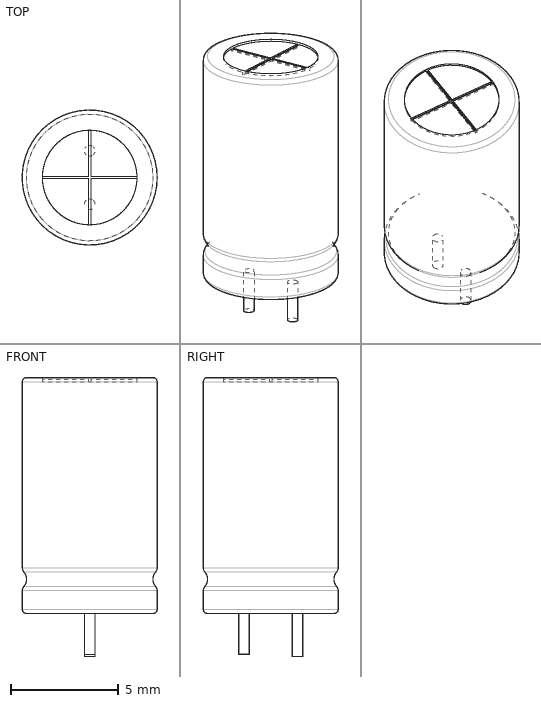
import cadquery as cq
import math

can_diameter = 6.3
can_height = 11.0
can_radius = can_diameter / 2
rim_fillet = 0.2

groove_height = 1.6
groove_depth = 0.2
groove_arc_radius = 0.5
groove_lip_radius = 0.3

vent_diameter = 0.7 * can_diameter
vent_depth = 0.1
score_width = 0.1
score_depth = 0.1

lead_diameter = 0.5
lead_spacing = 2.5
long_lead_length = 2.0
short_lead_length = 1.9


def make_can():
    """Revolve the can wall, with rounded rims and a crimp groove with rounded lips."""
    groove_center_radius = can_radius - groove_depth + groove_arc_radius
    lip_center_radius = can_radius - groove_lip_radius
    center_distance = groove_arc_radius + groove_lip_radius
    radial_offset = groove_center_radius - lip_center_radius
    lip_offset = math.sqrt(center_distance**2 - radial_offset**2)

    groove_share = groove_arc_radius / center_distance
    tangent_radius = groove_center_radius - radial_offset * groove_share
    tangent_offset = lip_offset * groove_share

    half_lip_angle = math.atan2(lip_offset, radial_offset) / 2
    lip_middle_radius = lip_center_radius + groove_lip_radius * math.cos(half_lip_angle)
    lip_middle_offset = lip_offset - groove_lip_radius * math.sin(half_lip_angle)

    profile = (
        cq.Workplane("XZ")
        .lineTo(can_radius, 0)
        .lineTo(can_radius, groove_height - lip_offset)
        .threePointArc(
            (lip_middle_radius, groove_height - lip_middle_offset),
            (tangent_radius, groove_height - tangent_offset),
        )
        .threePointArc(
            (can_radius - groove_depth, groove_height),
            (tangent_radius, groove_height + tangent_offset),
        )
        .threePointArc(
            (lip_middle_radius, groove_height + lip_middle_offset),
            (can_radius, groove_height + lip_offset),
        )
        .lineTo(can_radius, can_height)
        .lineTo(0, can_height)
        .close()
    )
    can = profile.revolve(360, (0, 0, 0), (0, 1, 0))
    return can.faces("<Z or >Z").edges().fillet(rim_fillet)


def make_vent():
    """Material removed from the top: a shallow round recess and two crossed score lines."""
    floor_height = can_height - vent_depth
    floor_plane = cq.Workplane("XY", origin=(0, 0, floor_height))
    recess = floor_plane.circle(vent_diameter / 2).extrude(vent_depth)
    score_along_x = floor_plane.rect(vent_diameter, score_width).extrude(-score_depth)
    score_along_y = floor_plane.rect(score_width, vent_diameter).extrude(-score_depth)
    score_cross = score_along_x.union(score_along_y)
    score_limit = floor_plane.circle(vent_diameter / 2).extrude(-score_depth)
    return recess.union(score_cross.intersect(score_limit))


def make_lead(y, length):
    """Round wire hanging straight down from the can's bottom face."""
    return cq.Workplane("XY").center(0, y).circle(lead_diameter / 2).extrude(-length)


result = (
    make_can()
    .cut(make_vent())
    .union(make_lead(lead_spacing / 2, long_lead_length))
    .union(make_lead(-lead_spacing / 2, short_lead_length))
)